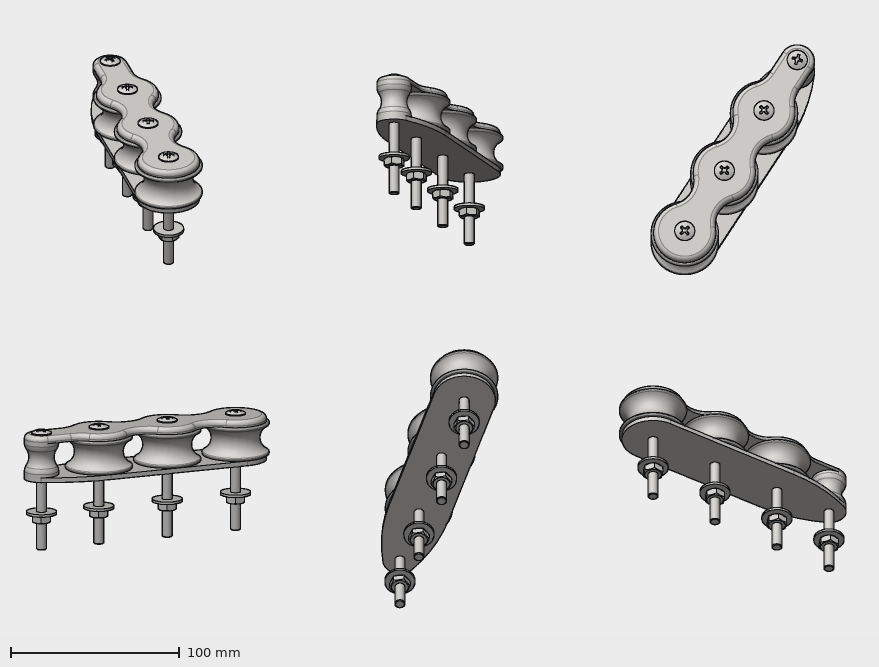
import cadquery as cq
import math


nose_radius = 10.2
roller_radius = 20.0
lobe_radius = 18.5
length = 155.2
roller_pitch = 44.01
roller_count = 3
nose_x = nose_radius
last_roller_x = length - roller_radius
roller_xs = [last_roller_x - roller_pitch * i for i in reversed(range(roller_count))]
bolt_xs = [nose_x] + roller_xs

bottom_plate_thickness = 3.0
plate_gap = 20.6
top_plate_thickness = 4.0
top_plate_z = bottom_plate_thickness + plate_gap
top_z = top_plate_z + top_plate_thickness
middle_z = bottom_plate_thickness + plate_gap / 2
top_edge_fillet = 3.0

roller_height = 20.0
groove_waist_radius = 14.6
groove_arc_radius = 9.0
rim_fillet = 0.8

post_waist_radius = 7.6
post_curve_half_height = 8.4
post_inflection_height = 5.3

shank_diameter = 6.0
shank_bottom_z = -43.0
shank_chamfer = 0.5
head_diameter = 12.0
head_rim_height = 0.6
head_height = 2.3
recess_span = 6.2
recess_arm_width = 1.2
recess_core_diameter = 2.6
recess_depth = 1.9
recess_angle = 15
washer_diameter = 18.0
washer_thickness = 1.5
washer_top_z = -19.9
nut_height = 5.0
nut_across_flats = 10.7
nut_face_diameter = 10.0
nut_chamfer_angle = 30
nut_angle = 5.5


def revolve_profile(profile, x):
    """Revolve an (R, Z) profile about its Z axis and move it to a bolt position."""
    return profile.close().revolve(360, (0, 0, 0), (0, 1, 0)).translate((x, 0, 0))


def make_bottom_plate():
    first_x = roller_xs[0]
    run = first_x - nose_x
    rise = lobe_radius - nose_radius
    side_radius = (run**2 + rise**2) / (2 * rise) + nose_radius
    centre_y = lobe_radius - side_radius
    tangent_angle = math.atan2(-centre_y, -run)
    tangent_x = nose_x + nose_radius * math.cos(tangent_angle)
    tangent_y = nose_radius * math.sin(tangent_angle)
    middle_angle = (tangent_angle + math.pi / 2) / 2
    middle_x = first_x + side_radius * math.cos(middle_angle)
    middle_y = centre_y + side_radius * math.sin(middle_angle)
    return (
        cq.Workplane("XY")
        .moveTo(tangent_x, tangent_y)
        .threePointArc((middle_x, middle_y), (first_x, lobe_radius))
        .lineTo(last_roller_x, lobe_radius)
        .threePointArc((last_roller_x + lobe_radius, 0), (last_roller_x, -lobe_radius))
        .lineTo(first_x, -lobe_radius)
        .threePointArc((middle_x, -middle_y), (tangent_x, -tangent_y))
        .threePointArc((nose_x - nose_radius, 0), (tangent_x, tangent_y))
        .close()
        .extrude(bottom_plate_thickness)
    )


def make_top_plate():
    half_pitch = roller_pitch / 2
    rise = lobe_radius - nose_radius
    valley_radius = (half_pitch**2 + rise**2) / (2 * rise) - lobe_radius
    lobe_share = lobe_radius / (lobe_radius + valley_radius)
    join_dx = half_pitch * lobe_share
    join_y = (nose_radius + valley_radius) * lobe_share

    first_x = roller_xs[0]
    start = (first_x - half_pitch, nose_radius)
    half_turn = math.atan2(half_pitch, nose_radius + valley_radius) / 2
    entry_middle = (
        start[0] + valley_radius * math.sin(half_turn),
        nose_radius + valley_radius * (1 - math.cos(half_turn)),
    )
    arcs = [(entry_middle, (first_x - join_dx, join_y))]
    for x in roller_xs[:-1]:
        arcs.append(((x, lobe_radius), (x + join_dx, join_y)))
        arcs.append(((x + half_pitch, nose_radius), (x + roller_pitch - join_dx, join_y)))

    outline = cq.Workplane("XY").workplane(offset=top_plate_z).moveTo(nose_x, nose_radius).lineTo(*start)
    for middle, end in arcs:
        outline = outline.threePointArc(middle, end)
    outline = outline.threePointArc((last_roller_x + lobe_radius, 0), (last_roller_x - join_dx, -join_y))

    ends = [start] + [end for _, end in arcs]
    for i in reversed(range(len(arcs))):
        middle = arcs[i][0]
        outline = outline.threePointArc((middle[0], -middle[1]), (ends[i][0], -ends[i][1]))
    outline = (
        outline.lineTo(nose_x, -nose_radius)
        .threePointArc((nose_x - nose_radius, 0), (nose_x, nose_radius))
        .close()
    )
    return outline.extrude(top_plate_thickness).faces(">Z").edges().fillet(top_edge_fillet)


def make_nose_post():
    flare = nose_radius - post_waist_radius
    join_radius = post_waist_radius + flare * post_inflection_height / post_curve_half_height
    profile = (
        cq.Workplane("XZ")
        .moveTo(0, bottom_plate_thickness)
        .lineTo(nose_radius, bottom_plate_thickness)
        .lineTo(nose_radius, middle_z - post_curve_half_height)
        .tangentArcPoint((join_radius, middle_z - post_inflection_height), relative=False)
        .threePointArc((post_waist_radius, middle_z), (join_radius, middle_z + post_inflection_height))
        .tangentArcPoint((nose_radius, middle_z + post_curve_half_height), relative=False)
        .lineTo(nose_radius, top_plate_z)
        .lineTo(0, top_plate_z)
    )
    post = revolve_profile(profile, 0).rotate((0, 0, 0), (0, 0, 1), 180)
    return post.translate((nose_x, 0, 0))


def make_roller(x):
    half_height = roller_height / 2
    groove_depth = roller_radius - groove_waist_radius
    groove_half_height = math.sqrt(groove_arc_radius**2 - (groove_arc_radius - groove_depth) ** 2)
    profile = (
        cq.Workplane("XZ")
        .moveTo(0, -half_height)
        .lineTo(roller_radius, -half_height)
        .lineTo(roller_radius, -groove_half_height)
        .threePointArc((groove_waist_radius, 0), (roller_radius, groove_half_height))
        .lineTo(roller_radius, half_height)
        .lineTo(0, half_height)
    )
    roller = revolve_profile(profile, 0)
    rounded = roller.edges(cq.selectors.RadiusNthSelector(-1)).fillet(rim_fillet)
    return rounded.translate((x, 0, middle_z))


def make_bolt(x, recess_turn):
    shank = (
        cq.Workplane("XY")
        .workplane(offset=shank_bottom_z)
        .circle(shank_diameter / 2)
        .extrude(top_z - shank_bottom_z)
        .faces("<Z")
        .chamfer(shank_chamfer)
        .translate((x, 0, 0))
    )
    head_radius = head_diameter / 2
    dome_height = head_height - head_rim_height
    dome_radius = (head_radius**2 + dome_height**2) / (2 * dome_height)
    head_profile = (
        cq.Workplane("XZ")
        .moveTo(0, top_z)
        .lineTo(head_radius, top_z)
        .lineTo(head_radius, top_z + head_rim_height)
        .radiusArc((0, top_z + head_height), -dome_radius)
    )
    recess = (
        cq.Workplane("XY")
        .workplane(offset=top_z + head_height)
        .circle(recess_core_diameter / 2)
        .extrude(-recess_depth)
    )
    for arm_angle in (recess_turn, recess_turn + 90):
        arm = (
            cq.Workplane("XY")
            .workplane(offset=top_z + head_height)
            .rect(recess_span, recess_arm_width)
            .extrude(-recess_depth)
            .rotate((0, 0, 0), (0, 0, 1), arm_angle)
        )
        recess = recess.union(arm)
    return shank.union(revolve_profile(head_profile, x)).cut(recess.translate((x, 0, 0)))


def make_washer_and_nut(x):
    nut_top_z = washer_top_z - washer_thickness
    washer = (
        cq.Workplane("XY")
        .workplane(offset=nut_top_z)
        .circle(washer_diameter / 2)
        .extrude(washer_thickness)
    )
    corner_radius = nut_across_flats / math.sqrt(3)
    face_radius = nut_face_diameter / 2
    chamfer_drop = (corner_radius - face_radius) * math.tan(math.radians(nut_chamfer_angle))
    nut_bottom_z = nut_top_z - nut_height
    envelope = (
        cq.Workplane("XZ")
        .moveTo(0, nut_bottom_z)
        .lineTo(face_radius, nut_bottom_z)
        .lineTo(corner_radius, nut_bottom_z + chamfer_drop)
        .lineTo(corner_radius, nut_top_z - chamfer_drop)
        .lineTo(face_radius, nut_top_z)
        .lineTo(0, nut_top_z)
    )
    nut = (
        cq.Workplane("XY")
        .workplane(offset=nut_bottom_z)
        .polygon(6, 2 * corner_radius)
        .extrude(nut_height)
        .rotate((0, 0, 0), (0, 0, 1), nut_angle)
        .intersect(revolve_profile(envelope, 0))
    )
    return washer.union(nut).translate((x, 0, 0))


result = make_bottom_plate().union(make_top_plate()).union(make_nose_post())
for roller_x in roller_xs:
    result = result.union(make_roller(roller_x))
for bolt_x in bolt_xs:
    turn = recess_angle if bolt_x == nose_x else -recess_angle
    result = result.union(make_bolt(bolt_x, turn)).union(make_washer_and_nut(bolt_x))